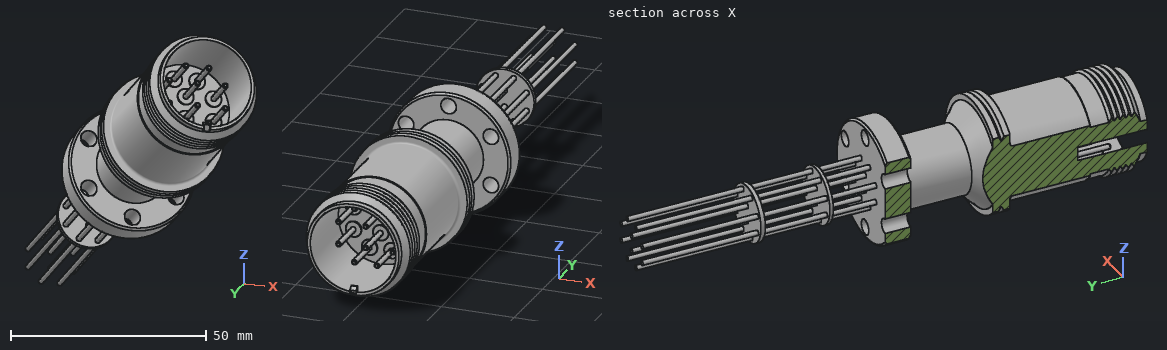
import cadquery as cq
import math

LENGTH = 141.5

rim_radius = 12.6
rim_length = 2.0
bore_radius = 11.7
thread_root_radius = 13.6
thread_crest_radius = 14.3
thread_count = 5
crest_span = 6.5
thread_pitch = crest_span / (thread_count - 1)
first_crest = rim_length + thread_crest_radius - rim_radius

body_start = 16.3
body_radius = 13.9
collar_start = 39.2
collar_end = 44.1
collar_radius = 16.1
collar_fillet = 0.7
groove_half_width = 0.7
groove_depth = 0.8
cone_large_radius = 14.5
cone_end = 49.1
neck_radius = 9.6

flange_start = 67.5
flange_end = 74.8
flange_radius = 33.8 / 2
flange_chamfer = 0.5
bolt_count = 6
bolt_circle_radius = 13.5
bolt_hole_radius = 2.1

insert_face = 19.8
pin_tip = 8.6
pin_radius = 0.7
pin_tip_chamfer = 0.3
outer_pin_count = 8
inner_pin_count = 2
outer_pin_circle_radius = 8.0
inner_pin_circle_radius = 3.0
sleeve_radius = 2.1
sleeve_height = 0.4

wire_radius = 0.7
outer_wire_circle_radius = 6.5
inner_wire_circle_radius = 2.3
spacer_radius = 8.0
front_spacer_start = 87.9
front_spacer_thickness = 1.0
rear_spacer_start = 107.2
rear_spacer_thickness = 1.3

key_width = 1.7
key_inner_radius = 10.5
key_tip_radius = 11.3
key_back = rim_radius - key_tip_radius


def cylinder(radius, start, end, x=0.0, z=0.0):
    """Solid cylinder parallel to Y between two Y positions."""
    base = cq.Workplane("XZ", origin=(x, start, z))
    return base.circle(radius).extrude(start - end)


def ring_points(count, radius, first_angle):
    """Evenly spaced (x, z) points on a circle about the axis."""
    angles = [math.radians(first_angle + 360.0 * i / count) for i in range(count)]
    return [(radius * math.cos(a), radius * math.sin(a)) for a in angles]


def contact_points(outer_radius, inner_radius):
    """Eight contacts on the outer circle and two stacked near the axis."""
    outer = ring_points(outer_pin_count, outer_radius, 180.0 / outer_pin_count)
    return outer + ring_points(inner_pin_count, inner_radius, 90.0)


def shell():
    """Turned outer profile with the connector cavity bored from the mouth."""
    profile = [(0, 0), (rim_radius, 0), (rim_radius, rim_length)]
    for i in range(thread_count):
        crest = first_crest + i * thread_pitch
        profile.append((thread_crest_radius, crest))
        profile.append((thread_root_radius, crest + thread_pitch / 2))
    groove_center = (collar_start + collar_end) / 2
    profile += [
        (thread_root_radius, body_start),
        (body_radius, body_start),
        (body_radius, collar_start - collar_fillet),
    ]
    fillet_end = (body_radius + collar_fillet, collar_start)
    rear_profile = [
        (collar_radius, collar_start),
        (collar_radius, groove_center - groove_half_width),
        (collar_radius - groove_depth, groove_center),
        (collar_radius, groove_center + groove_half_width),
        (collar_radius, collar_end),
        (cone_large_radius, collar_end),
        (neck_radius, cone_end),
        (neck_radius, flange_start),
        (0, flange_start),
    ]
    outline = cq.Workplane("XY").polyline(profile).radiusArc(fillet_end, collar_fillet)
    for point in rear_profile:
        outline = outline.lineTo(*point)
    solid = outline.close().revolve(360, (0, 0, 0), (0, 1, 0))
    return solid.cut(cylinder(bore_radius, 0, insert_face))


def flange():
    """Round flange with chamfered rims and a circle of through holes."""
    disc = cylinder(flange_radius, flange_start, flange_end).edges().chamfer(flange_chamfer)
    for x, z in ring_points(bolt_count, bolt_circle_radius, 180.0 / bolt_count):
        disc = disc.cut(cylinder(bolt_hole_radius, flange_start, flange_end, x, z))
    return disc


def contact_pin(x, z):
    """Pin standing in the cavity, with a sleeve around its foot."""
    pin = cylinder(pin_radius, pin_tip, insert_face, x, z).faces("<Y").chamfer(pin_tip_chamfer)
    return pin.union(cylinder(sleeve_radius, insert_face - sleeve_height, insert_face, x, z))


def key_notch():
    """Slot cut through the bottom of the plain rim, open at the mouth."""
    slot_height = rim_radius - key_inner_radius
    center = (0, key_back / 2, -(rim_radius + key_inner_radius) / 2)
    return cq.Workplane("XY", origin=center).box(key_width, key_back, slot_height)


def key_tab():
    """Tab in the notch, ramped on both faces to a sharp edge at the mouth."""
    inner_ramp_end = key_tip_radius - key_inner_radius
    outline = [
        (0, -key_tip_radius),
        (inner_ramp_end, -key_inner_radius),
        (key_back, -key_inner_radius),
        (key_back, -rim_radius),
    ]
    return cq.Workplane("YZ").polyline(outline).close().extrude(key_width / 2, both=True)


result = shell().union(flange()).cut(key_notch()).union(key_tab())

for x, z in contact_points(outer_pin_circle_radius, inner_pin_circle_radius):
    result = result.union(contact_pin(x, z))

for x, z in contact_points(outer_wire_circle_radius, inner_wire_circle_radius):
    result = result.union(cylinder(wire_radius, flange_end, LENGTH, x, z))

for start, thickness in (
    (front_spacer_start, front_spacer_thickness),
    (rear_spacer_start, rear_spacer_thickness),
):
    result = result.union(cylinder(spacer_radius, start, start + thickness))